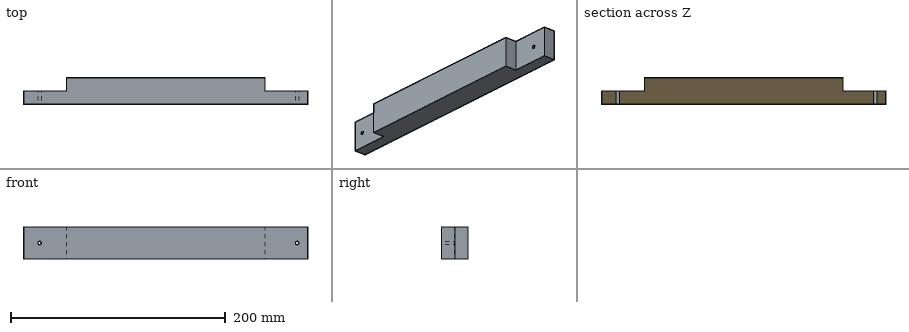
import cadquery as cq

length = 265.0
depth = 25.0
height = 30.0

tab_length = 40.0
tab_thickness = depth / 2

hole_diameter = 3.0
left_hole_inset = 15.0
right_hole_inset = 10.0


def stepped_bar():
    """Full-length plate with a shorter block raised along its back."""
    plate = cq.Workplane("XY").box(length, tab_thickness, height, centered=False)
    block = (
        cq.Workplane("XY")
        .box(length - 2 * tab_length, depth, height, centered=False)
        .translate((tab_length, 0, 0))
    )
    return plate.union(block)


def tab_hole(x):
    """Cutter for one hole along Y through a tab at mid height."""
    return (
        cq.Workplane("XZ")
        .center(x, height / 2)
        .circle(hole_diameter / 2)
        .extrude(-tab_thickness)
    )


result = stepped_bar()
for hole_x in (left_hole_inset, length - right_hole_inset):
    result = result.cut(tab_hole(hole_x))